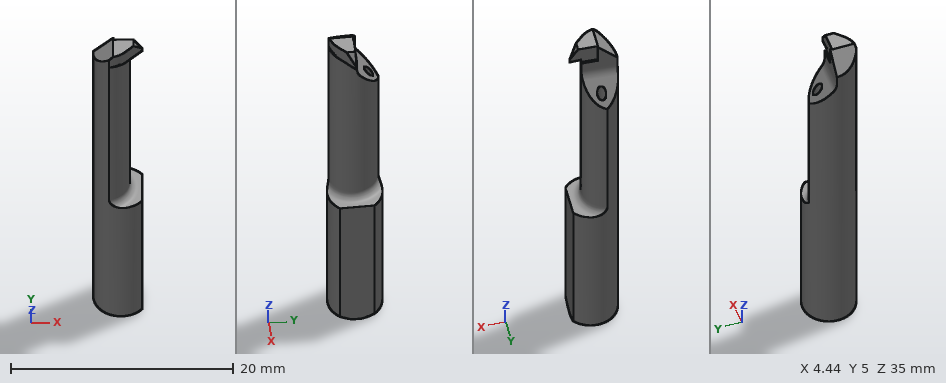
import cadquery as cq
import math

length = 35.0
shank_radius = 2.502
flat_x = 1.942
end_chamfer = 0.52

neck_center_x = -1.47
neck_radius = 2.3
shoulder_z = 15.05
shoulder_fillet = 0.77

head_bottom_z = 33.67
top_bevel = 1.8
head_side_x = 0.52
head_side_y = -1.47
head_side_bulge = 0.15
tip_x = 1.92
tip_bottom_z = 33.45
tip_top_z = 33.8
top_corner_x = 1.12

chip_face_y = 0.1
runout_corner_z = 31.7
runout_slope = 1.25
runout_fillet = 1.58

rake_y = -0.07
rake_start_x = -0.65
rake_bottom_z = 33.25

coolant_diameter = 0.8
coolant_x = -0.75
coolant_y = 1.33

margin = 1.75
reach = shank_radius + margin

crossing_x = (shank_radius**2 - neck_radius**2 + neck_center_x**2) / (2 * neck_center_x)
crossing_y = math.sqrt(shank_radius**2 - crossing_x**2)


def make_shank():
    bar = cq.Workplane("XY").circle(shank_radius).extrude(length)
    bar = bar.faces("<Z").chamfer(end_chamfer)
    flat_cut = cq.Workplane("XY").box(margin, 2 * reach, length, centered=(False, True, False))
    return bar.cut(flat_cut.translate((flat_x, 0, 0)))


def make_neck_cutter():
    """Ring around the neck, with a concave fillet at the shoulder."""
    fillet_top_z = shoulder_z + shoulder_fillet
    shoulder_radius = neck_radius + shoulder_fillet
    arc_inset = shoulder_fillet * math.sqrt(0.5)
    ring_radius = neck_radius + 2 * reach
    return (
        cq.Workplane("XZ")
        .moveTo(neck_radius, length + margin)
        .lineTo(neck_radius, fillet_top_z)
        .threePointArc(
            (shoulder_radius - arc_inset, fillet_top_z - arc_inset),
            (shoulder_radius, shoulder_z),
        )
        .lineTo(ring_radius, shoulder_z)
        .lineTo(ring_radius, length + margin)
        .close()
        .revolve(360, (0, 0, 0), (0, 1, 0))
        .translate((neck_center_x, 0, 0))
    )


def make_head():
    """Tooth: its plan with side relief, trimmed to the pointed front profile."""
    plan = (
        cq.Workplane("XY")
        .moveTo(crossing_x, chip_face_y)
        .lineTo(crossing_x, -crossing_y)
        .threePointArc(
            (
                (crossing_x + head_side_x) / 2 + head_side_bulge / 2,
                (head_side_y - crossing_y) / 2 - head_side_bulge,
            ),
            (head_side_x, head_side_y),
        )
        .lineTo(tip_x, rake_y)
        .lineTo(tip_x, chip_face_y)
        .close()
        .extrude(length)
    )
    profile = (
        cq.Workplane("XZ")
        .polyline([
            (crossing_x, head_bottom_z),
            (tip_x, tip_bottom_z),
            (tip_x, tip_top_z),
            (top_corner_x, length),
            (crossing_x, length),
        ])
        .close()
        .extrude(reach, both=True)
    )
    return plan.intersect(profile)


def make_bevel_cutter():
    bevel_bottom_z = length - top_bevel
    return (
        cq.Workplane("XZ")
        .polyline([
            (-shank_radius - margin, bevel_bottom_z - margin),
            (-shank_radius + top_bevel + margin, length + margin),
            (-shank_radius - margin, length + margin),
        ])
        .close()
        .extrude(reach, both=True)
    )


def make_chip_face_cutter():
    cutter = (
        cq.Workplane("YZ")
        .polyline([
            (chip_face_y, length + margin),
            (chip_face_y, runout_corner_z),
            (reach, runout_corner_z - runout_slope * (reach - chip_face_y)),
            (reach, length + margin),
        ])
        .close()
        .extrude(reach, both=True)
    )
    runout_corner = cq.selectors.NearestToPointSelector((0, chip_face_y, runout_corner_z))
    return cutter.edges(runout_corner).fillet(runout_fillet)


def make_rake_cutter():
    cutter = cq.Workplane("XY").box(reach, reach, length, centered=False)
    return cutter.translate((rake_start_x, rake_y, rake_bottom_z))


def make_coolant_hole():
    return cq.Workplane("XY").center(coolant_x, coolant_y).circle(coolant_diameter / 2).extrude(length)


result = (
    make_shank()
    .cut(make_neck_cutter())
    .union(make_head())
    .cut(make_bevel_cutter())
    .cut(make_chip_face_cutter())
    .cut(make_rake_cutter())
    .cut(make_coolant_hole())
)